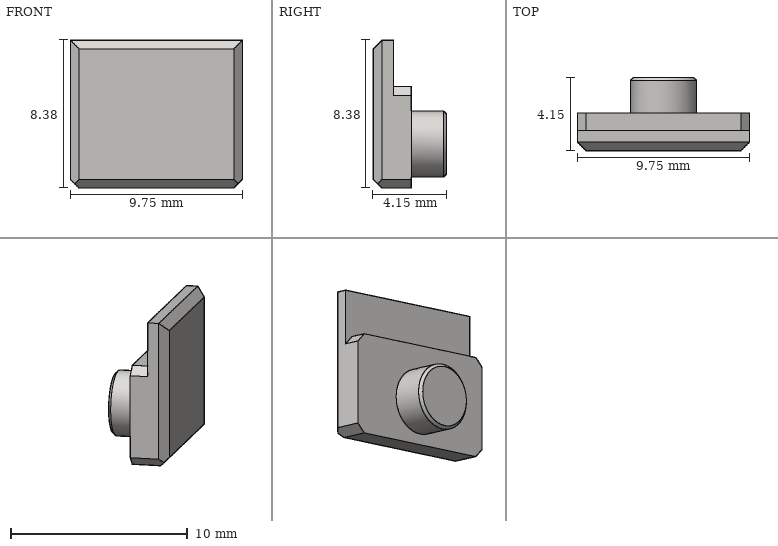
import cadquery as cq

width = 9.75
height = 8.38
total_depth = 4.15
pin_length = 2.0
ledge_depth = 1.0
block_height = 5.75
edge_chamfer = 0.5
pin_diameter = 3.75
pin_center_height = 2.5
pin_chamfer = 0.17

body_depth = total_depth - pin_length
plate_depth = body_depth - ledge_depth


def cut_corner_slab(slab_height, depth, corners):
    """Upright slab with its front at y = 0 and the selected Y edges chamfered."""
    slab = cq.Workplane("XY").box(width, depth, slab_height, centered=(True, False, False))
    return slab.edges("|Y").edges(corners).chamfer(edge_chamfer)


def beveled_plate():
    """Front plate: bevel around the front face, then both bottom corners cut off."""
    plate = cq.Workplane("XY").box(width, plate_depth, height, centered=(True, False, False))
    plate = plate.faces("<Y").chamfer(edge_chamfer)
    return plate.intersect(cut_corner_slab(height, plate_depth, "<Z"))


def rear_block():
    """Lower block behind the plate, with all four corners cut off."""
    block = cut_corner_slab(block_height, ledge_depth, "<Z or >Z")
    return block.translate((0, plate_depth, 0))


def rear_pin():
    """Round pin on the back of the block, chamfered at its free end."""
    pin = cq.Workplane("XZ").circle(pin_diameter / 2).extrude(-pin_length)
    pin = pin.faces(">Y").chamfer(pin_chamfer)
    return pin.translate((0, body_depth, pin_center_height))


result = beveled_plate().union(rear_block()).union(rear_pin())